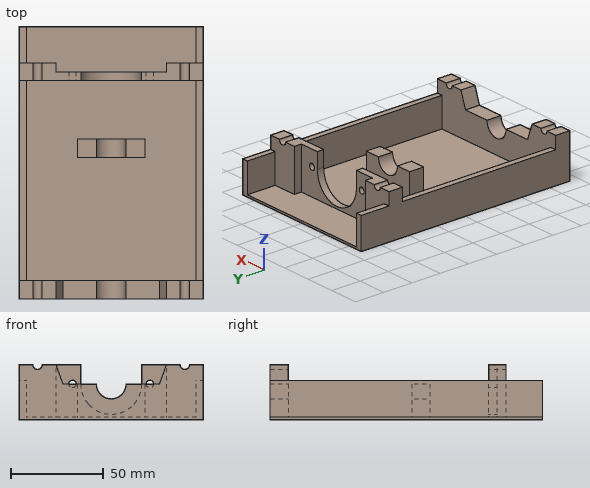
import cadquery as cq

width = 100.0
length = 148.0
height = 30.0
floor_thickness = 1.5
wall_thickness = 4.0
wall_top = 21.5
right_overhang = 0.06

axis_x = width / 2
axis_z = 19.5
shaft_radius = 8.0

end_wall_depth = 10.0
opening_top_width = 60.0
opening_bottom_width = 52.4

block_start = 77.0
block_depth = 10.0
block_width = 36.5

plate_start = 118.75
plate_thickness = 4.5
motor_radius = 16.5
screw_radius = 2.0
screw_spacing = 42.0
corner_width = 20.0
corner_depth = 5.0

groove_radius = 2.5
groove_inset = 10.0


def box(x_start, x_end, y_start, y_end, z_start, z_end):
    """Box given by its limits along each axis."""
    size = (x_end - x_start, y_end - y_start, z_end - z_start)
    return cq.Workplane("XY").box(*size, centered=False).translate((x_start, y_start, z_start))


def rod(x, z, radius, y_start, y_end):
    """Cylinder running along Y."""
    return cq.Workplane("XZ", origin=(x, y_start, z)).circle(radius).extrude(y_start - y_end)


def make_tray():
    """Floor with a low wall along each long side, open at both ends."""
    floor = box(0, width, 0, length, 0, floor_thickness)
    left = box(0, wall_thickness, 0, length, 0, wall_top)
    right_edge = width + right_overhang
    right = box(right_edge - wall_thickness, right_edge, 0, length, floor_thickness, wall_top)
    return floor.union(left).union(right)


def make_end_wall():
    """Front wall with a tapered opening and a half-round shaft seat below it."""
    wall = box(0, width, 0, end_wall_depth, floor_thickness, height)
    opening = (
        cq.Workplane("XZ")
        .moveTo(axis_x - opening_top_width / 2, height)
        .lineTo(axis_x - opening_bottom_width / 2, axis_z)
        .lineTo(axis_x + opening_bottom_width / 2, axis_z)
        .lineTo(axis_x + opening_top_width / 2, height)
        .close()
        .extrude(-end_wall_depth)
    )
    return wall.cut(opening).cut(rod(axis_x, axis_z, shaft_radius, 0, end_wall_depth))


def make_block():
    """Bearing block with a half-round shaft seat in its top."""
    block_end = block_start + block_depth
    block = box(axis_x - block_width / 2, axis_x + block_width / 2, block_start, block_end, 0, axis_z)
    return block.cut(rod(axis_x, axis_z, shaft_radius, block_start, block_end))


def make_motor_plate():
    """Plate with a U-shaped motor opening, two screw holes and a corner block at each side."""
    plate_end = plate_start + plate_thickness
    corner_end = plate_end + corner_depth
    plate = box(0, width, plate_start, plate_end, 0, height)
    for x in (0, width - corner_width):
        plate = plate.union(box(x, x + corner_width, plate_end, corner_end, 0, height))
    plate = plate.cut(rod(axis_x, axis_z, motor_radius, plate_start, plate_end))
    plate = plate.cut(
        box(axis_x - motor_radius, axis_x + motor_radius, plate_start, plate_end, axis_z, height)
    )
    for side in (-1, 1):
        x = axis_x + side * screw_spacing / 2
        plate = plate.cut(rod(x, axis_z, screw_radius, plate_start, plate_end))
    return plate


def cut_post_grooves(part):
    """Half-round grooves along Y across the tops of the posts at both ends."""
    for x in (groove_inset, width - groove_inset):
        part = part.cut(rod(x, height, groove_radius, 0, length))
    return part


result = make_tray().union(make_end_wall()).union(make_block()).union(make_motor_plate())
result = cut_post_grooves(result)
result = result.translate((-width / 2, -length / 2, 0))